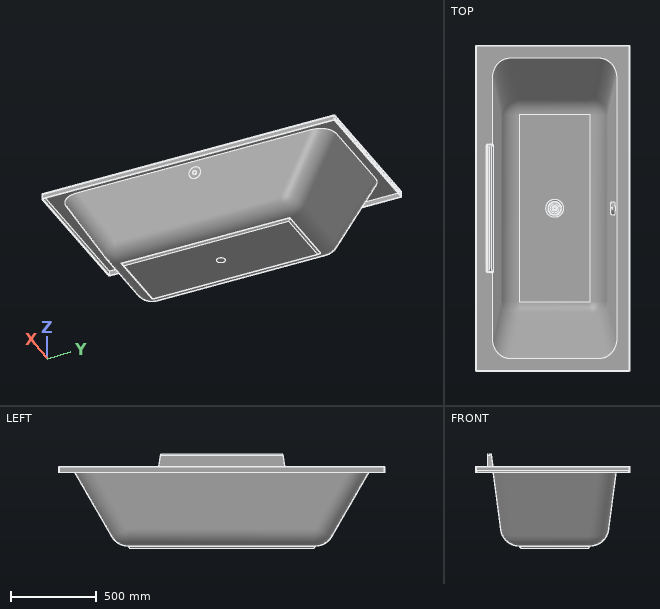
import cadquery as cq
import math

RIM_X = 901.13
RIM_Y = 1900
RIM_DEPTH = 36
RIM_EDGE_FILLET = 5
RIM_CORNER_FILLET = 8
END_BAND_TOP_Z = -25
END_BAND_PROUD = 0.265
WALL = 5

BASIN_X = 11
SIDE_SLOPE = 7.5
END_SLOPE = 30
FLOOR_Z = -465
FLAT_X = 412
FLAT_Y = 1092
BASIN_FILLET = 110
LIP_FILLET = 11

FOOT_Z = -480
FOOT_CHAMFER = 12

NOTCH_X = -384
NOTCH_Y = 740
NOTCH_DEPTH = 26
NOTCH_CORNER = 8

OVERALL_HEIGHT = 552.5
GRIP_TOP = OVERALL_HEIGHT + FOOT_Z
GRIP_OUTER_X = -381
GRIP_BASE_Y = 736
GRIP_TOP_Y = 714
GRIP_CORNER = 8
GROOVE_X = -372
GROOVE_WIDTH = 8
GROOVE_DEPTH = 8

DISH_D = 104
DISH_FLAT_D = 80
DISH_DEPTH = 5
DISH_Z = FLOOR_Z + WALL - DISH_DEPTH
FLANGE_D = 72
FLANGE_THICKNESS = 4
TAILPIECE_D = 52
DRAIN_BORE_D = 32
PLUG_D = 29.2
PLUG_SEAT_DEPTH = 8
PLUG_SEAT_Z = DISH_Z - PLUG_SEAT_DEPTH
PLUG_RECESS_D = 14.5
PLUG_RECESS_DEPTH = 2

OVERFLOW_Z = -76
KNOB_D = 75
KNOB_HEIGHT = 20
KNOB_SLOT_WIDTH = 8
KNOB_SLOT_DEPTH = 3
KNOB_FILLET = 5
KNOB_STEM_D = 24


def half_fillet_run(slope):
    """Tangent length per unit radius of the fillet between the floor and a wall."""
    return math.tan(math.radians(90 - slope) / 2)


def inner_half_width(z):
    """Distance from the basin's middle to the inside of a side wall at height `z`."""
    floor_half = FLAT_X / 2 + (BASIN_FILLET - WALL) * half_fillet_run(SIDE_SLOPE)
    return floor_half + (z - FLOOR_Z - WALL) * math.tan(math.radians(SIDE_SLOPE))


def trough(plane, bottom_width, slope, bottom, length):
    """Long bar with a trapezoid section, from `bottom` up to the rim's top face."""
    top_width = bottom_width - 2 * bottom * math.tan(math.radians(slope))
    return (
        cq.Workplane(plane)
        .moveTo(-bottom_width / 2, bottom)
        .lineTo(bottom_width / 2, bottom)
        .lineTo(top_width / 2, 0)
        .lineTo(-top_width / 2, 0)
        .close()
        .extrude(length / 2, both=True)
    )


def basin_block(inset):
    """Rounded solid inside the basin's outer surface, moved inward by `inset`."""
    radius = BASIN_FILLET - inset
    bottom = FLOOR_Z + inset
    bottom_x = FLAT_X + 2 * radius * half_fillet_run(SIDE_SLOPE)
    bottom_y = FLAT_Y + 2 * radius * half_fillet_run(END_SLOPE)
    side_walls = trough("XZ", bottom_x, SIDE_SLOPE, bottom, RIM_Y)
    end_walls = trough("YZ", bottom_y, END_SLOPE, bottom, RIM_X)
    block = side_walls.intersect(end_walls).edges("not >Z").fillet(radius)
    return block.translate((BASIN_X, 0, 0))


def rim_shell():
    outer = (
        cq.Workplane("XY", origin=(0, 0, -RIM_DEPTH))
        .rect(RIM_X, RIM_Y)
        .extrude(RIM_DEPTH)
        .edges("|Z").fillet(RIM_CORNER_FILLET)
        .faces(">Z").edges().fillet(RIM_EDGE_FILLET)
    )
    end_bands = (
        cq.Workplane("XY", origin=(0, 0, -RIM_DEPTH))
        .rect(RIM_X - 2 * RIM_CORNER_FILLET, RIM_Y + 2 * END_BAND_PROUD)
        .extrude(RIM_DEPTH + END_BAND_TOP_Z)
    )
    hollow = (
        cq.Workplane("XY", origin=(0, 0, -RIM_DEPTH))
        .rect(RIM_X - 2 * WALL, RIM_Y - 2 * WALL)
        .extrude(RIM_DEPTH - WALL)
    )
    return outer.union(end_bands).cut(hollow)


def notch_block(margin):
    """Notch volume, grown by `margin` at its closed sides; it ends inside the basin."""
    length_x = BASIN_X - NOTCH_X + margin
    depth = NOTCH_DEPTH + margin
    return (
        cq.Workplane("XY", origin=(BASIN_X - length_x / 2, 0, -depth))
        .rect(length_x, NOTCH_Y + 2 * margin)
        .extrude(depth)
        .edges("|Z and <X").fillet(NOTCH_CORNER + margin)
    )


def lip_edges(tub):
    """Edges around the opening in the rim's top face, the notch included."""
    top_face = tub.faces(">Z").val()
    opening = top_face.innerWires()[0]
    return opening.Edges()


def cylinder(bottom, top, diameter):
    """Upright cylinder on the drain axis."""
    return (
        cq.Workplane("XY", origin=(BASIN_X, 0, bottom))
        .circle(diameter / 2)
        .extrude(top - bottom)
    )


def make_tub():
    foot = (
        cq.Workplane("XY", origin=(BASIN_X, 0, FOOT_Z))
        .rect(FLAT_X, FLAT_Y)
        .extrude(FLOOR_Z - FOOT_Z)
        .faces("<Z").edges().chamfer(FOOT_CHAMFER)
    )
    dish = (
        cq.Workplane("XY", origin=(BASIN_X, 0, DISH_Z))
        .circle(DISH_FLAT_D / 2)
        .workplane(offset=DISH_DEPTH)
        .circle(DISH_D / 2)
        .loft()
    )
    tub = rim_shell().union(basin_block(0)).union(notch_block(WALL)).union(foot)
    tub = tub.cut(basin_block(WALL)).cut(notch_block(0))
    tub = tub.newObject(lip_edges(tub)).fillet(LIP_FILLET)
    tub = tub.cut(dish).cut(cylinder(FOOT_Z, DISH_Z, TAILPIECE_D))
    return tub.cut(knob_stem())


def make_grip():
    section = (
        cq.Workplane("XZ")
        .moveTo(GRIP_OUTER_X, -NOTCH_DEPTH)
        .lineTo(GRIP_OUTER_X, GRIP_TOP)
        .lineTo(GROOVE_X - GROOVE_WIDTH / 2, GRIP_TOP)
        .lineTo(GROOVE_X - GROOVE_WIDTH / 2, GRIP_TOP - GROOVE_DEPTH)
        .lineTo(GROOVE_X + GROOVE_WIDTH / 2, GRIP_TOP - GROOVE_DEPTH)
        .lineTo(GROOVE_X + GROOVE_WIDTH / 2, GRIP_TOP)
        .lineTo(BASIN_X - inner_half_width(GRIP_TOP), GRIP_TOP)
        .lineTo(BASIN_X - inner_half_width(-NOTCH_DEPTH), -NOTCH_DEPTH)
        .close()
        .extrude(NOTCH_Y / 2, both=True)
    )
    outline = (
        cq.Workplane("YZ")
        .moveTo(-GRIP_BASE_Y / 2, -NOTCH_DEPTH)
        .lineTo(GRIP_BASE_Y / 2, -NOTCH_DEPTH)
        .lineTo(GRIP_BASE_Y / 2, 0)
        .lineTo(GRIP_TOP_Y / 2, GRIP_TOP)
        .lineTo(-GRIP_TOP_Y / 2, GRIP_TOP)
        .lineTo(-GRIP_BASE_Y / 2, 0)
        .close()
        .extrude(RIM_X / 2, both=True)
        .edges("|X and >Z").fillet(GRIP_CORNER)
    )
    return section.intersect(outline)


def make_drain():
    drain = cylinder(DISH_Z, DISH_Z + FLANGE_THICKNESS, FLANGE_D)
    drain = drain.union(cylinder(FOOT_Z, DISH_Z, TAILPIECE_D))
    return drain.cut(cylinder(PLUG_SEAT_Z, DISH_Z + FLANGE_THICKNESS, DRAIN_BORE_D))


def make_plug():
    top = DISH_Z + FLANGE_THICKNESS
    plug = cylinder(PLUG_SEAT_Z, top, PLUG_D)
    return plug.cut(cylinder(top - PLUG_RECESS_DEPTH, top, PLUG_RECESS_D))


def knob_plane(height):
    """Workplane facing into the basin, `height` in front of the inside of the +X wall."""
    slope = math.radians(SIDE_SLOPE)
    wall_x = BASIN_X + inner_half_width(OVERFLOW_Z)
    facing = (-math.cos(slope), 0, math.sin(slope))
    plane = cq.Plane((wall_x, 0, OVERFLOW_Z), (0, 1, 0), facing)
    return cq.Workplane(plane).workplane(offset=height)


def knob_stem():
    return knob_plane(-WALL).circle(KNOB_STEM_D / 2).extrude(WALL)


def make_knob():
    knob = knob_plane(0).circle(KNOB_D / 2).extrude(KNOB_HEIGHT)
    knob = knob.faces("<X").edges().fillet(KNOB_FILLET)
    slot = knob_plane(KNOB_HEIGHT).rect(KNOB_SLOT_WIDTH, KNOB_D).extrude(-KNOB_SLOT_DEPTH)
    return knob.cut(slot).union(knob_stem())


tub = make_tub()
grip = make_grip()
drain = make_drain()
plug = make_plug()
knob = make_knob()
result = cq.Compound.makeCompound([tub.val(), grip.val(), drain.val(), plug.val(), knob.val()])